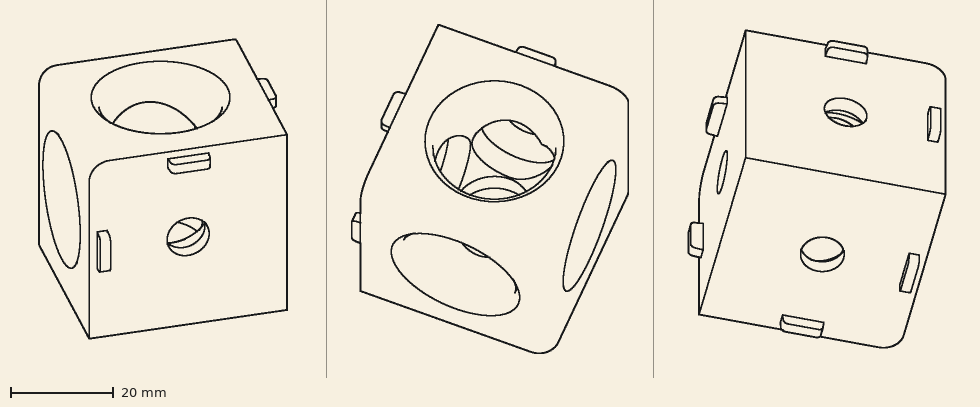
import cadquery as cq
import math


OVERALL = 42.5
TAB_HEIGHT = 2.5
CUBE = OVERALL - TAB_HEIGHT
HALF = CUBE / 2
EDGE_RADIUS = 4.1

MOUTH_RADIUS = 13.5
MOUTH_CHAMFER = 1.55
LIP_RADIUS = 1.0
BALL_RADIUS = 11.7
PASSAGE_RADIUS = 8.15
PASSAGE_END = 13.0
BOLT_RADIUS = 4.25

TAB_LENGTH = 8.25
TAB_THICKNESS = 2.05
TAB_FROM_EDGE = 2.6
TAB_DRAFT = 5.0
TAB_CORNER_RADIUS = 1.0


def three_ways(solid):
    """Return the solid with its two copies turned about the (1, 1, -1) diagonal."""
    return [solid.rotate((0, 0, 0), (1, 1, -1), angle) for angle in (0, 120, 240)]


def make_cube():
    """Cube with the three edges that meet at the (-X, -Y, +Z) corner rounded."""
    cube = cq.Workplane("XY").box(CUBE, CUBE, CUBE)
    corner_edges = cube.edges("(<X and <Y) or (<X and >Z) or (<Y and >Z)")
    return corner_edges.fillet(EDGE_RADIUS)


def make_socket():
    """Cutter for the socket on +Z, with its bolt hole leaving through -Z."""
    lip_radius = MOUTH_RADIUS - MOUTH_CHAMFER
    lip_z = HALF - MOUTH_CHAMFER
    passage_start = math.sqrt(BALL_RADIUS**2 - PASSAGE_RADIUS**2)
    bolt_start = PASSAGE_END + PASSAGE_RADIUS - BOLT_RADIUS
    mid_angle = math.atan2(passage_start, PASSAGE_RADIUS) / 2
    cutter = (
        cq.Workplane("XZ")
        .moveTo(0, HALF)
        .lineTo(MOUTH_RADIUS, HALF)
        .lineTo(lip_radius, lip_z)
        .lineTo(BALL_RADIUS, 0)
        .threePointArc(
            (BALL_RADIUS * math.cos(mid_angle), -BALL_RADIUS * math.sin(mid_angle)),
            (PASSAGE_RADIUS, -passage_start),
        )
        .lineTo(PASSAGE_RADIUS, -PASSAGE_END)
        .lineTo(BOLT_RADIUS, -bolt_start)
        .lineTo(BOLT_RADIUS, -HALF)
        .lineTo(0, -HALF)
        .close()
        .revolve(360, (0, 0, 0), (0, 1, 0))
    )
    lip_edge = cq.selectors.BoxSelector(
        (-CUBE, -CUBE, lip_z - LIP_RADIUS / 2), (CUBE, CUBE, lip_z + LIP_RADIUS / 2), boundingbox=True
    )
    return cutter.edges(lip_edge).fillet(LIP_RADIUS)


def make_tab():
    """Tab under the -Z face beside -Y, with drafted ends and rounded tip corners."""
    base = TAB_LENGTH / 2
    tip = base - TAB_HEIGHT * math.tan(math.radians(TAB_DRAFT))
    tab = (
        cq.Workplane("XZ")
        .polyline([(-base, -HALF), (base, -HALF), (tip, -HALF - TAB_HEIGHT), (-tip, -HALF - TAB_HEIGHT)])
        .close()
        .extrude(TAB_THICKNESS / 2, both=True)
    )
    tab = tab.faces("<Z").edges("|Y").fillet(TAB_CORNER_RADIUS)
    return tab.translate((0, TAB_FROM_EDGE - HALF, 0))


tab_beside_front = make_tab()
tab_beside_left = tab_beside_front.rotate((0, 0, 0), (0, 0, 1), -90)

result = make_cube()
for socket in three_ways(make_socket()):
    result = result.cut(socket)
for tab in three_ways(tab_beside_front) + three_ways(tab_beside_left):
    result = result.union(tab)